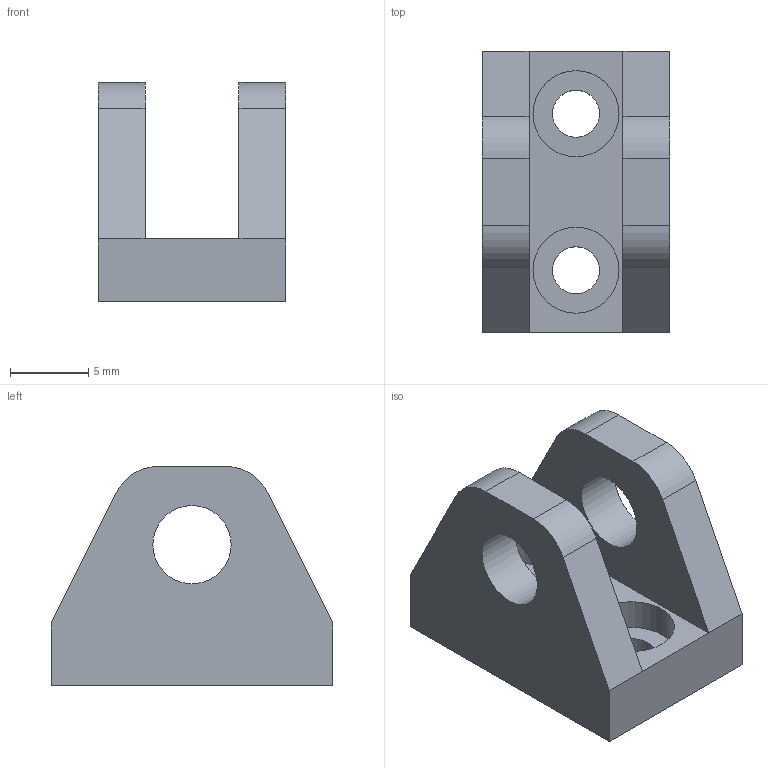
import cadquery as cq

width = 12.0
length = 18.0
base_height = 4.0

total_height = 14.0
arm_thickness = 3.0
top_flat_length = 8.0
top_corner_radius = 3.0

pivot_diameter = 5.0
pivot_height = 9.0

mount_spacing = 10.0
mount_diameter = 3.0
counterbore_diameter = 5.5
counterbore_depth = 2.0

gap_width = width - 2 * arm_thickness


def make_side_profile_block():
    """Full-width block with sloped sides and rounded top corners."""
    half_length = length / 2
    half_top = top_flat_length / 2
    outline = [
        (-half_length, 0),
        (half_length, 0),
        (half_length, base_height),
        (half_top, total_height),
        (-half_top, total_height),
        (-half_length, base_height),
    ]
    block = cq.Workplane("YZ").polyline(outline).close().extrude(width / 2, both=True)
    top_corners = block.faces(">Z").edges("|X")
    return top_corners.fillet(top_corner_radius)


def cut_arm_gap(body):
    """Open the slot between the arms, down to the base."""
    gap = (
        cq.Workplane("XY")
        .workplane(offset=base_height)
        .rect(gap_width, length)
        .extrude(total_height - base_height)
    )
    return body.cut(gap)


def cut_pivot_hole(body):
    """Bore both arms along X."""
    pin = (
        cq.Workplane("YZ")
        .center(0, pivot_height)
        .circle(pivot_diameter / 2)
        .extrude(width / 2, both=True)
    )
    return body.cut(pin)


def cut_mounting_holes(body):
    """Drill and counterbore the base between the arms."""
    centers = [(0, -mount_spacing / 2), (0, mount_spacing / 2)]
    holes = (
        cq.Workplane("XY")
        .pushPoints(centers)
        .circle(mount_diameter / 2)
        .extrude(base_height)
    )
    counterbores = (
        cq.Workplane("XY")
        .workplane(offset=base_height - counterbore_depth)
        .pushPoints(centers)
        .circle(counterbore_diameter / 2)
        .extrude(counterbore_depth)
    )
    return body.cut(holes).cut(counterbores)


bracket = make_side_profile_block()
bracket = cut_arm_gap(bracket)
bracket = cut_pivot_hole(bracket)
result = cut_mounting_holes(bracket)